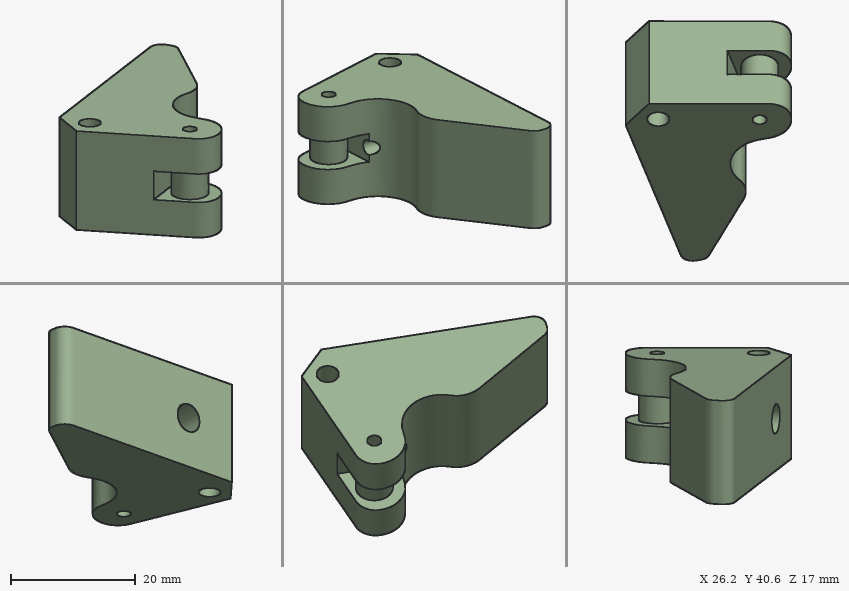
import cadquery as cq
import math

width = 26.2
length = 40.65
thickness = 17.0
mid_z = thickness / 2

corner_cut_x = 5.05
corner_cut_y = 4.3
lower_edge_angle = 15.0

hollow_radius = 6.42
hollow_x = 19.9
hollow_y = 19.85

bump_radius = 5.0
bump_direction = 156.4
arm_normal_angle = 36.0

tip_radius = 2.0
hinge_upper_radius = 4.88
hinge_lower_radius = 3.5

slot_start_x = 17.15
slot_height = 4.88
boss_diameter = 6.0
pin_hole_diameter = 2.28
pin_x = 21.1
pin_y = 8.5

mount_hole_diameter = 3.55
mount_hole_x = 5.45
mount_hole_y = 4.2

cross_hole_y = 13.7
cross_hole_diameter = 2.52
counterbore_diameter = 4.75
counterbore_depth = 10.0


def polar(center, radius, degrees):
    """Point on a circle at the given angle."""
    angle = math.radians(degrees)
    return (center[0] + radius * math.cos(angle), center[1] + radius * math.sin(angle))


def make_body():
    hollow_center = (hollow_x, hollow_y)
    bump_center = polar(hollow_center, hollow_radius + bump_radius, bump_direction)
    bump_end = polar(bump_center, bump_radius, arm_normal_angle)
    bump_start_angle = bump_direction - 180
    bump_middle = polar(bump_center, bump_radius, (bump_start_angle + arm_normal_angle) / 2)

    tip_x = bump_end[0] - (length - bump_end[1]) * math.tan(math.radians(arm_normal_angle))
    hinge_bottom_y = (width - corner_cut_x) * math.tan(math.radians(lower_edge_angle))
    hinge_top_y = hollow_y - hollow_radius

    body = (
        cq.Workplane("XY")
        .moveTo(0, corner_cut_y)
        .lineTo(corner_cut_x, 0)
        .lineTo(width, hinge_bottom_y)
        .lineTo(width, hinge_top_y)
        .lineTo(hollow_x, hinge_top_y)
        .threePointArc(
            polar(hollow_center, hollow_radius, (bump_direction + 270) / 2),
            polar(hollow_center, hollow_radius, bump_direction),
        )
        .threePointArc(bump_middle, bump_end)
        .lineTo(tip_x, length)
        .lineTo(0, length)
        .close()
        .extrude(thickness)
    )

    rounded_corners = [
        (0, length, tip_radius),
        (tip_x, length, tip_radius),
        (width, hinge_top_y, hinge_upper_radius),
        (width, hinge_bottom_y, hinge_lower_radius),
    ]
    for x, y, radius in rounded_corners:
        corner_edge = cq.selectors.NearestToPointSelector((x, y, mid_z))
        body = body.edges("|Z").edges(corner_edge).fillet(radius)
    return body


def vertical_cylinder(x, y, diameter, bottom, height):
    return cq.Workplane("XY", origin=(x, y, bottom)).circle(diameter / 2).extrude(height)


def cross_cylinder(diameter, depth):
    return cq.Workplane("YZ", origin=(0, cross_hole_y, mid_z)).circle(diameter / 2).extrude(depth)


def hinge_slot():
    slot_bottom = mid_z - slot_height / 2
    slot = (
        cq.Workplane("XY", origin=(slot_start_x, 0, slot_bottom))
        .rect(width - slot_start_x, length, centered=False)
        .extrude(slot_height)
    )
    return slot.cut(vertical_cylinder(pin_x, pin_y, boss_diameter, slot_bottom, slot_height))


result = (
    make_body()
    .cut(hinge_slot())
    .cut(vertical_cylinder(pin_x, pin_y, pin_hole_diameter, 0, thickness))
    .cut(vertical_cylinder(mount_hole_x, mount_hole_y, mount_hole_diameter, 0, thickness))
    .cut(cross_cylinder(cross_hole_diameter, width))
    .cut(cross_cylinder(counterbore_diameter, counterbore_depth))
)